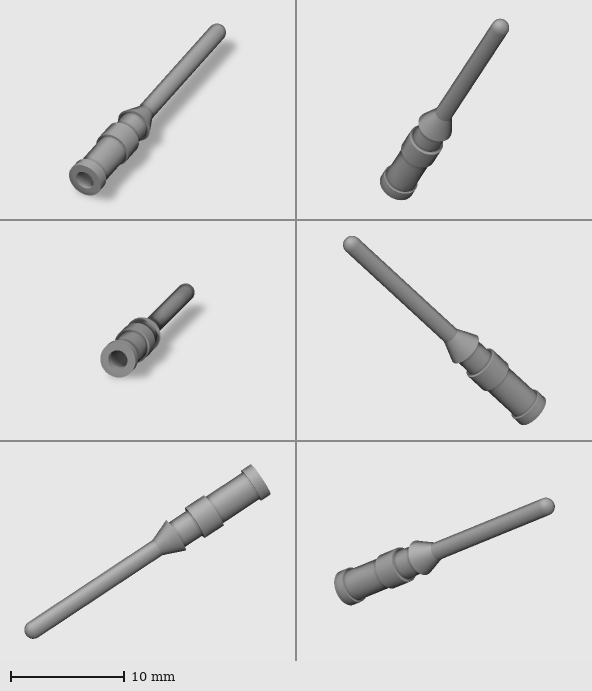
import cadquery as cq

length = 25.0
collar_diameter = 3.2
barrel_diameter = 2.8
neck_diameter = 2.6
pin_diameter = 1.6
bore_diameter = 1.75

rim_length = 1.0
barrel_length = 4.0
collar_length = 2.0
neck_length = 2.0
cone_length = 2.0

barrel_end = rim_length + barrel_length
collar_end = barrel_end + collar_length
neck_end = collar_end + neck_length
cone_end = neck_end + cone_length
bore_depth = barrel_end

collar_radius = collar_diameter / 2
barrel_radius = barrel_diameter / 2
neck_radius = neck_diameter / 2
pin_radius = pin_diameter / 2
tip_start = length - pin_radius


def turned_body():
    """Half profile in the XY plane, revolved about the Y axis."""
    diagonal = pin_radius * 0.5 ** 0.5
    profile = (
        cq.Workplane("XY")
        .moveTo(0, 0)
        .lineTo(collar_radius, 0)
        .lineTo(collar_radius, rim_length)
        .lineTo(barrel_radius, rim_length)
        .lineTo(barrel_radius, barrel_end)
        .lineTo(collar_radius, barrel_end)
        .lineTo(collar_radius, collar_end)
        .lineTo(neck_radius, collar_end)
        .lineTo(neck_radius, neck_end)
        .lineTo(collar_radius, neck_end)
        .lineTo(pin_radius, cone_end)
        .lineTo(pin_radius, tip_start)
        .threePointArc((diagonal, tip_start + diagonal), (0, length))
        .close()
    )
    return profile.revolve(360, (0, 0), (0, 1))


def wire_bore():
    """Blind flat-bottomed bore entering from the wire end."""
    return cq.Workplane("XZ").circle(bore_diameter / 2).extrude(-bore_depth)


result = turned_body().cut(wire_bore())